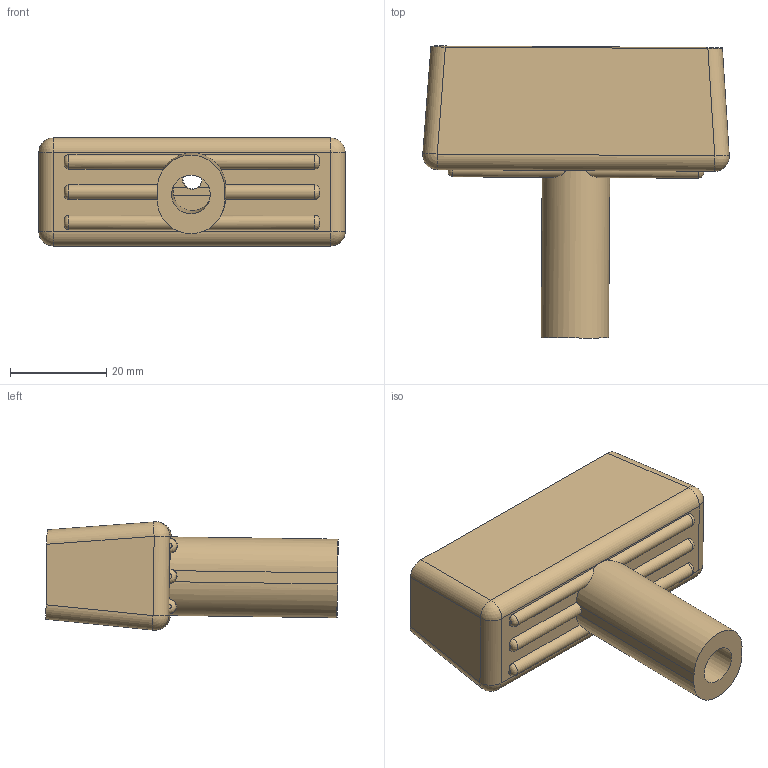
import cadquery as cq
import math


block_width = 64.0
block_height = 23.0
block_depth = 25.45
side_draft = 4.0
top_draft = 5.0
block_round = 3.0

rib_count = 3
rib_length = 53.0
rib_radius = 1.5
rib_end_round = 1.0
rib_pitch = 6.3

stem_length = 34.76
stem_width = 14.0
stem_height = 16.3
stem_overlap = 3.0
bore_diameter = 8.0
bore_floor = 12.0

vent_diameter = 4.0
vent_offset = 2.4

plate_width = 50.0
plate_thickness = 1.7
plate_back_cover = 3.0
plate_depth = block_depth - plate_back_cover - bore_floor

tilt_about_x = 0.77
tilt_about_z = -0.33


def section(y):
    """XZ workplane at a given Y, with its normal along +Y and local x along X."""
    plane = cq.Plane(origin=(0, y, 0), xDir=(1, 0, 0), normal=(0, 1, 0))
    return cq.Workplane(plane)


def tapered_outline(workplane, front_size, draft):
    """Symmetric trapezoid from Y = 0 to the back face, narrowing by the draft on each side."""
    half_front = front_size / 2
    half_back = half_front - block_depth * math.tan(math.radians(draft))
    return workplane.polyline(
        [(-half_front, 0), (half_front, 0), (half_back, block_depth), (-half_back, block_depth)]
    ).close()


def make_block():
    side_profile = tapered_outline(cq.Workplane("XY"), block_width, side_draft)
    side_wedge = side_profile.extrude(block_height, both=True)
    upright = cq.Workplane("ZY")
    top_wedge = tapered_outline(upright, block_height, top_draft).extrude(block_width, both=True)
    block = side_wedge.intersect(top_wedge)
    return block.edges("not >Y").fillet(block_round)


def make_rib(z):
    """Round bar along X, half sunk into the front face, with rounded ends."""
    bar = cq.Workplane("YZ").circle(rib_radius).extrude(rib_length / 2, both=True)
    return bar.edges("%CIRCLE").fillet(rib_end_round).translate((0, 0, z))


def make_stem():
    return (
        section(-stem_length)
        .slot2D(stem_height, stem_width, 90)
        .extrude(stem_length + stem_overlap)
    )


def make_plate_blank():
    return section(bore_floor).rect(plate_width, plate_thickness).extrude(plate_depth)


def make_vent():
    return (
        section(bore_floor)
        .circle(vent_diameter / 2)
        .extrude(block_depth - bore_floor)
        .translate((0, 0, vent_offset))
    )


def make_handle():
    handle = make_block().union(make_stem())
    for index in range(rib_count):
        handle = handle.union(make_rib((index - (rib_count - 1) / 2) * rib_pitch))
    bore = section(-stem_length).circle(bore_diameter / 2).extrude(stem_length + bore_floor)
    return handle.cut(bore).cut(make_plate_blank()).cut(make_vent())


def make_plate():
    return make_plate_blank().cut(make_vent())


def tilt(body):
    tilted = body.rotate((0, 0, 0), (1, 0, 0), tilt_about_x)
    return tilted.rotate((0, 0, 0), (0, 0, 1), tilt_about_z)


handle = tilt(make_handle())
plate = tilt(make_plate())
result = cq.Compound.makeCompound([handle.val(), plate.val()])